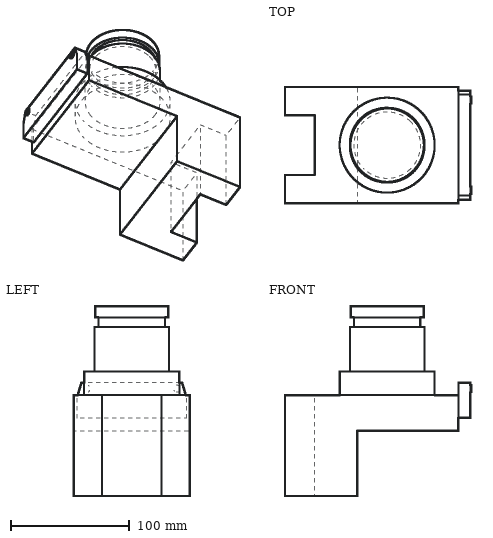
import cadquery as cq

body_width = 98.0
body_length = 146.0
body_height = 85.0
foot_length = 61.0
plate_thickness = 30.0

slot_depth = 25.0
slot_width = 50.0

post_x = 86.0
flange_diameter = 80.0
flange_top = 105.0
shaft_diameter = 63.08
shaft_top = 142.5
groove_diameter = 56.0
groove_top = 150.5
cap_diameter = 61.8
total_height = 160.0
post_steps = [
    (flange_diameter, flange_top),
    (shaft_diameter, shaft_top),
    (groove_diameter, groove_top),
    (cap_diameter, total_height),
]

bar_thickness = 10.0
bar_width = 92.0
bar_top_width = 85.0
bar_bottom = 66.0
bar_shoulder = 83.5
bar_top = 95.5

pin_diameter = 6.0
pin_length = 1.0
pin_spacing = 76.0
pin_height = 90.5


def make_body():
    """L-shaped block, centred on Y = 0, with an open slot in its -X end."""
    plate_bottom = body_height - plate_thickness
    profile = [
        (0, 0),
        (foot_length, 0),
        (foot_length, plate_bottom),
        (body_length, plate_bottom),
        (body_length, body_height),
        (0, body_height),
    ]
    block = cq.Workplane("XZ").polyline(profile).close().extrude(body_width / 2, both=True)
    slot = cq.Workplane("XY").box(slot_depth, slot_width, body_height, centered=(False, True, False))
    return block.cut(slot)


def make_post():
    """Coaxial cylinders stacked on the top face of the body."""
    post = cq.Workplane("XY")
    step_bottom = body_height
    for diameter, step_top in post_steps:
        step = (
            cq.Workplane("XY", origin=(post_x, 0, step_bottom))
            .circle(diameter / 2)
            .extrude(step_top - step_bottom)
        )
        post = post.union(step)
        step_bottom = step_top
    return post


def make_end_bar():
    """Six-sided bar, symmetric about Y = 0, narrowing above its shoulders."""
    outline = [
        (-bar_width / 2, bar_bottom),
        (bar_width / 2, bar_bottom),
        (bar_width / 2, bar_shoulder),
        (bar_top_width / 2, bar_top),
        (-bar_top_width / 2, bar_top),
        (-bar_width / 2, bar_shoulder),
    ]
    return cq.Workplane("YZ", origin=(body_length, 0, 0)).polyline(outline).close().extrude(bar_thickness)


def make_pins():
    """Pair of pins on the +X face of the end bar."""
    pin_centres = [(side * pin_spacing / 2, pin_height) for side in (-1, 1)]
    return (
        cq.Workplane("YZ", origin=(body_length + bar_thickness, 0, 0))
        .pushPoints(pin_centres)
        .circle(pin_diameter / 2)
        .extrude(pin_length)
    )


result = make_body().union(make_post()).union(make_end_bar()).union(make_pins())